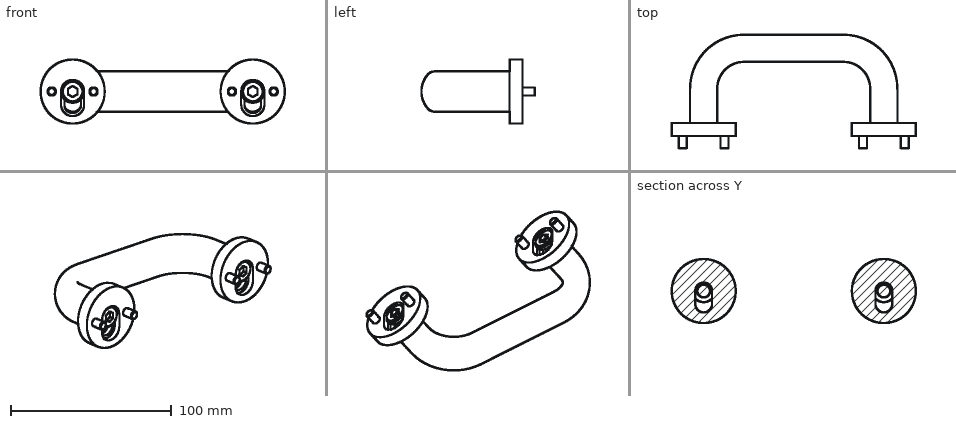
import cadquery as cq
import math

overall_length = 152.0
plate_diameter = 40.0
plate_thickness = 8.2
leg_offset = (overall_length - plate_diameter) / 2

oval_width = 17.0
oval_height = 25.2
oval_tip_radius = 6.1
handle_reach = 54.9
bend_radius = 25.1

pin_diameter = 5.2
pin_length = 7.8
pin_chamfer = 0.5
pin_spacing = 26.0

slot_travel = 8.0
counterbore_width = 14.5
counterbore_depth = 4.1
slot_width = 10.3

head_diameter = 14.0
head_height = 3.0
head_chamfer = 0.9
shank_diameter = 8.0
socket_flats = 6.0
socket_depth = 2.9

plate_front = -plate_thickness
counterbore_floor = plate_front + counterbore_depth


def plane_facing_front(x, y):
    """Sketch plane at the given X and Y: local x along +X, local y along +Z, normal along -Y."""
    return cq.Workplane(cq.Plane(origin=(x, y, 0), xDir=(1, 0, 0), normal=(0, -1, 0)))


def oval_section(x):
    """Four tangent arcs: tight arcs at the top and bottom, flatter arcs on the two flanks."""
    half_width = oval_width / 2
    half_height = oval_height / 2
    tip_center = half_height - oval_tip_radius
    flank_radius = (half_width**2 + tip_center**2 - oval_tip_radius**2) / (2 * (half_width - oval_tip_radius))
    flank_center = flank_radius - half_width
    join_angle = math.atan2(tip_center, flank_center)
    join_x = oval_tip_radius * math.cos(join_angle)
    join_z = tip_center + oval_tip_radius * math.sin(join_angle)
    return (
        plane_facing_front(x, 0)
        .moveTo(join_x, -join_z)
        .threePointArc((half_width, 0), (join_x, join_z))
        .threePointArc((0, half_height), (-join_x, join_z))
        .threePointArc((-half_width, 0), (-join_x, -join_z))
        .threePointArc((0, -half_height), (join_x, -join_z))
        .close()
    )


def make_handle():
    """Two straight legs, two quarter bends and a straight grip."""
    grip_y = handle_reach - oval_width / 2
    bend_y = grip_y - bend_radius
    bend_x = leg_offset - bend_radius
    bend_mid = bend_radius * math.sqrt(0.5)
    path = (
        cq.Workplane("XY")
        .moveTo(-leg_offset, 0)
        .lineTo(-leg_offset, bend_y)
        .threePointArc((-bend_x - bend_mid, bend_y + bend_mid), (-bend_x, grip_y))
        .lineTo(bend_x, grip_y)
        .threePointArc((bend_x + bend_mid, bend_y + bend_mid), (leg_offset, bend_y))
        .lineTo(leg_offset, 0)
    )
    return oval_section(-leg_offset).sweep(path)


def vertical_slot(x, y, width, depth):
    """Round-ended slot cut towards -Y whose upper end is centred on the plate."""
    return (
        plane_facing_front(x, y)
        .center(0, -slot_travel / 2)
        .slot2D(slot_travel + width, width, 90)
        .extrude(depth)
    )


def make_plate(x):
    """Round base plate with the stepped slot."""
    plate = plane_facing_front(x, 0).circle(plate_diameter / 2).extrude(plate_thickness)
    through_slot = vertical_slot(x, 0, slot_width, plate_thickness)
    counterbore = vertical_slot(x, counterbore_floor, counterbore_width, counterbore_depth)
    return plate.cut(through_slot).cut(counterbore)


def make_pins(x):
    """Pair of chamfered pins on either side of the slot."""
    return (
        plane_facing_front(x, plate_front)
        .pushPoints([(-pin_spacing / 2, 0), (pin_spacing / 2, 0)])
        .circle(pin_diameter / 2)
        .extrude(pin_length)
        .faces("<Y")
        .chamfer(pin_chamfer)
    )


def make_screw(x):
    """Screw with a chamfered hexagon-socket head; the shank reaches the end of the leg."""
    shank = plane_facing_front(x, 0).circle(shank_diameter / 2).extrude(-counterbore_floor)
    head = (
        plane_facing_front(x, counterbore_floor)
        .circle(head_diameter / 2)
        .extrude(head_height)
        .faces("<Y")
        .chamfer(head_chamfer)
    )
    socket_corners = socket_flats / math.cos(math.pi / 6)
    socket = (
        plane_facing_front(x, counterbore_floor - head_height)
        .transformed(rotate=(0, 0, 90))
        .polygon(6, socket_corners)
        .extrude(-socket_depth)
    )
    return shank.union(head).cut(socket)


result = make_handle()
for plate_x in (-leg_offset, leg_offset):
    result = result.union(make_plate(plate_x))
    result = result.union(make_pins(plate_x))
    result = result.union(make_screw(plate_x))